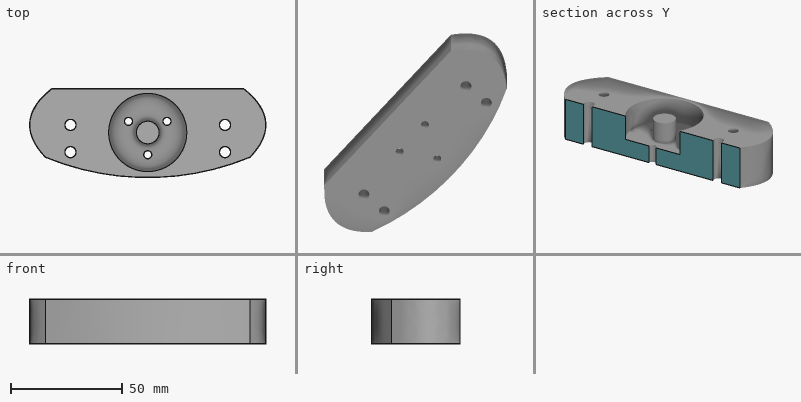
import cadquery as cq
import math

length = 106.0
height = 20.0
back_y = 19.7
front_y = -20.2

back_corner_x = 43.0
front_corner_x = 45.9
front_corner_y = -11.1
end_y = 3.4

mount_hole_x = 34.7
mount_hole_diameter = 4.9
mount_hole_spacing = 12.2

pocket_diameter = 35.1
pocket_depth = 11.5
boss_diameter = 10.2
boss_height = 10.0

floor_hole_diameter = 3.5
floor_hole_circle_radius = 10.0
floor_hole_count = 3
first_floor_hole_angle = -90


def make_body():
    """Block with a flat back, smoothly curved ends and a bowed front."""
    return (
        cq.Workplane("XY")
        .moveTo(-back_corner_x, back_y)
        .lineTo(back_corner_x, back_y)
        .spline([(length / 2, end_y), (front_corner_x, front_corner_y)], includeCurrent=True)
        .threePointArc((0, front_y), (-front_corner_x, front_corner_y))
        .spline([(-length / 2, end_y), (-back_corner_x, back_y)], includeCurrent=True)
        .close()
        .extrude(height)
    )


def make_pocket():
    """Ring-shaped cutter that leaves the boss standing below the top face."""
    floor = cq.Workplane("XY").workplane(offset=height - pocket_depth)
    boss = floor.circle(boss_diameter / 2).extrude(boss_height)
    return floor.circle(pocket_diameter / 2).extrude(pocket_depth).cut(boss)


def make_through_holes(points, diameter):
    """Vertical cylinders through the full height."""
    return cq.Workplane("XY").pushPoints(points).circle(diameter / 2).extrude(height)


mount_points = [
    (side * mount_hole_x, y)
    for side in (-1, 1)
    for y in (end_y, end_y - mount_hole_spacing)
]

floor_hole_angles = [
    math.radians(first_floor_hole_angle + i * 360 / floor_hole_count)
    for i in range(floor_hole_count)
]
floor_hole_points = [
    (floor_hole_circle_radius * math.cos(a), floor_hole_circle_radius * math.sin(a))
    for a in floor_hole_angles
]

result = (
    make_body()
    .cut(make_pocket())
    .cut(make_through_holes(mount_points, mount_hole_diameter))
    .cut(make_through_holes(floor_hole_points, floor_hole_diameter))
)